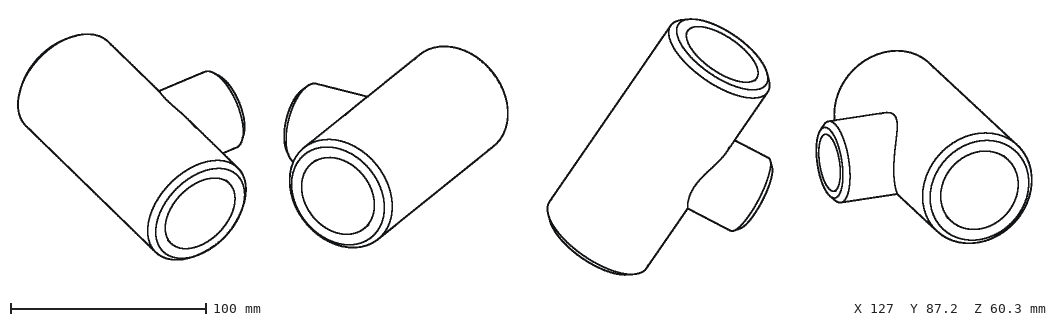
import cadquery as cq

run_length = 127.0
run_diameter = 60.3
run_bore = 42.8
run_bevel_length = 3.0
run_bevel_depth = 2.9

branch_reach = 87.2 - run_diameter / 2
branch_diameter = 42.2
branch_wall = 6.4
branch_bore = branch_diameter - 2 * branch_wall
branch_bevel = 2.8


def run_cylinder(diameter):
    """Cylinder along X over the full run, centred on the origin."""
    return cq.Workplane("YZ").circle(diameter / 2).extrude(run_length / 2, both=True)


def branch_cylinder(diameter):
    """Cylinder from the run axis out to the branch end face."""
    return cq.Workplane("XZ").circle(diameter / 2).extrude(-branch_reach)


def run_body():
    """Solid run with a weld bevel at each end, revolved about X."""
    radius = run_diameter / 2
    half_length = run_length / 2
    end_radius = radius - run_bevel_depth
    shoulder = half_length - run_bevel_length
    return (
        cq.Workplane("XY")
        .moveTo(-half_length, 0)
        .lineTo(-half_length, end_radius)
        .lineTo(-shoulder, radius)
        .lineTo(shoulder, radius)
        .lineTo(half_length, end_radius)
        .lineTo(half_length, 0)
        .close()
        .revolve(360, (0, 0, 0), (1, 0, 0))
    )


branch = branch_cylinder(branch_diameter).faces(">Y").chamfer(branch_bevel)
tee = run_body().union(branch)

result = tee.cut(run_cylinder(run_bore)).cut(branch_cylinder(branch_bore))